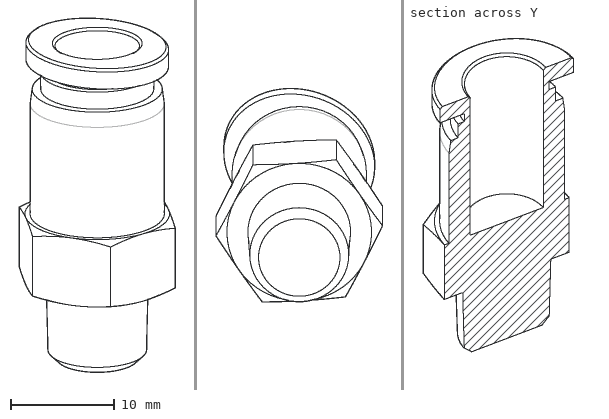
import cadquery as cq
import math


total_height = 32.6
flange_bottom = 30.58
neck_bottom = 29.63
collar_bottom = 27.87
body_taper_bottom = 26.37
hex_top = 14.93
hex_bottom = 7.95

flange_length_x = 15.0
flange_width_y = 13.0
flange_chamfer = 0.25

neck_diameter = 9.55
collar_diameter = 10.95
body_diameter = 13.0
body_top_diameter = 12.6

hex_corner_diameter = 16.17
hex_flat_width = hex_corner_diameter * math.cos(math.pi / 6)
hex_corner_drop = 0.4

thread_top_diameter = 9.95
thread_tip_diameter = 9.6
tip_chamfer = 0.85

socket_diameter = 8.18
socket_chamfer = 0.25
socket_floor = hex_top


def revolve_profile(points):
    """Revolve a closed (radius, height) outline around Z."""
    return cq.Workplane("XZ").polyline(points).close().revolve(360, (0, 0, 0), (0, 1, 0))


def make_stem():
    """Thread, body, collar and neck as one turned piece, reaching the flange."""
    return revolve_profile([
        (0, 0),
        (thread_tip_diameter / 2 - tip_chamfer, 0),
        (thread_tip_diameter / 2, tip_chamfer),
        (thread_top_diameter / 2, hex_bottom),
        (body_diameter / 2, hex_bottom),
        (body_diameter / 2, body_taper_bottom),
        (body_top_diameter / 2, collar_bottom),
        (collar_diameter / 2, collar_bottom),
        (collar_diameter / 2, neck_bottom),
        (neck_diameter / 2, neck_bottom),
        (neck_diameter / 2, flange_bottom),
        (0, flange_bottom),
    ])


def make_hexagon():
    """Hexagonal prism whose corners are turned off conically at both ends."""
    prism = (
        cq.Workplane("XY", origin=(0, 0, hex_bottom))
        .polygon(6, hex_corner_diameter)
        .extrude(hex_top - hex_bottom)
        .rotate((0, 0, 0), (0, 0, 1), 30)
    )
    corner_cones = revolve_profile([
        (0, hex_bottom),
        (hex_flat_width / 2, hex_bottom),
        (hex_corner_diameter / 2, hex_bottom + hex_corner_drop),
        (hex_corner_diameter / 2, hex_top - hex_corner_drop),
        (hex_flat_width / 2, hex_top),
        (0, hex_top),
    ])
    return prism.intersect(corner_cones)


def make_flange():
    """Oval release flange with a chamfered top edge."""
    return (
        cq.Workplane("XY", origin=(0, 0, flange_bottom))
        .ellipse(flange_length_x / 2, flange_width_y / 2)
        .extrude(total_height - flange_bottom)
        .faces(">Z")
        .edges()
        .chamfer(flange_chamfer)
    )


def make_socket():
    """Blind tube hole with a chamfered mouth."""
    radius = socket_diameter / 2
    return revolve_profile([
        (0, socket_floor),
        (radius, socket_floor),
        (radius, total_height - socket_chamfer),
        (radius + socket_chamfer, total_height),
        (0, total_height),
    ])


result = make_stem().union(make_hexagon()).union(make_flange()).cut(make_socket())